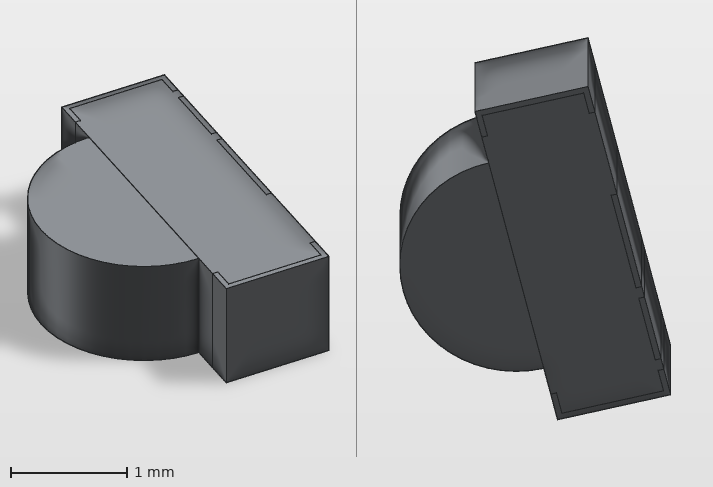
import cadquery as cq


length = 3.0
height = length / 3
depth = length / 3
lens_radius = length / 3

metal_thickness = 0.05
cap_wrap = 0.25
pad_gap = 0.102
short_pad_length = 0.6
long_pad_length = 0.9

left_end = -length / 2
short_pad_start = left_end + cap_wrap + pad_gap
long_pad_start = short_pad_start + short_pad_length + pad_gap


def make_box(start_x, start_y, size_x, size_y):
    """Full-height box placed by its left front corner."""
    return cq.Workplane("XY").box(size_x, size_y, height, centered=False).translate((start_x, start_y, 0))


def make_left_cap():
    """C-shaped metal cap around the left end, open toward +X."""
    outer = make_box(left_end, 0, cap_wrap, depth)
    inner = make_box(left_end + metal_thickness, metal_thickness, cap_wrap, depth - 2 * metal_thickness)
    return outer.cut(inner)


def make_pad(start_x, pad_length):
    """Flat metal pad set flush into the back face."""
    return make_box(start_x, depth - metal_thickness, pad_length, metal_thickness)


def make_block(metal_parts):
    """Rectangular block recessed for every metal part."""
    block = make_box(left_end, 0, length, depth)
    for part in metal_parts:
        block = block.cut(part)
    return block


def make_lens():
    """Half-cylinder lens standing on the front face of the block."""
    return (
        cq.Workplane("XY")
        .moveTo(-lens_radius, 0)
        .threePointArc((0, -lens_radius), (lens_radius, 0))
        .close()
        .extrude(height)
    )


left_cap = make_left_cap()
end_caps = [left_cap, left_cap.mirror("YZ")]

pad_spans = [(short_pad_start, short_pad_length), (long_pad_start, long_pad_length)]
pads = [make_pad(start_x, pad_length) for start_x, pad_length in pad_spans]

block = make_block(end_caps + pads)
lens = make_lens()

bodies = [block, lens] + end_caps + pads
result = cq.Compound.makeCompound([body.val() for body in bodies])